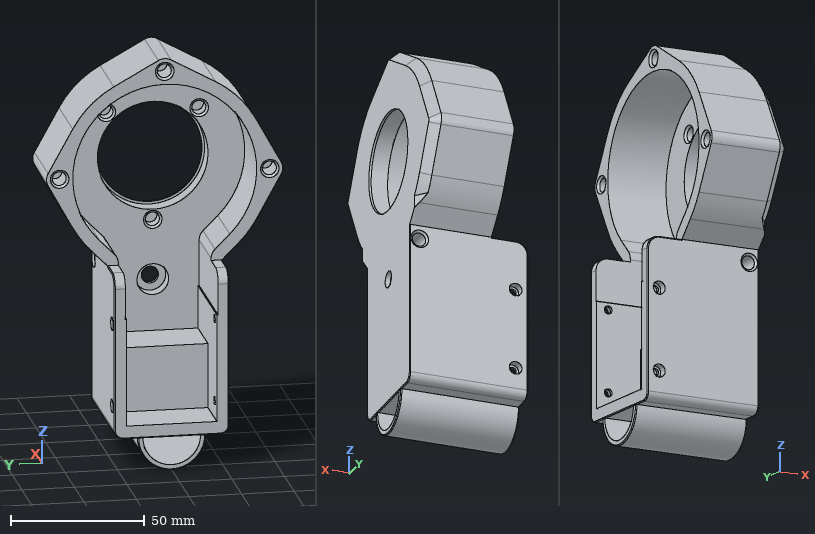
import cadquery as cq
import math


arm_depth = 47.6
ring_front = 14.7
pocket_floor = 39.7
ring_chamfer = 3.7
ring_chamfer_inset = 3.5
chamfer_start = arm_depth - ring_chamfer

ring_radius = 40.0
corner_radius = 5.0
corner_angles = [0, 90, 180]
right_flank_angle = -45
left_flank_angle = 225
pocket_radius = 35.0
pocket_corner_radius = 5.0
neck_chamfer_top = -25.0
bore_diameter = 42.0
lip_diameter = 40.0
lip_thickness = 1.0

arm_half_width = 21.9
arm_top = arm_half_width - ring_radius * math.sqrt(2)
arm_bottom = -98.3
arm_bottom_radius = 3.3
arm_top_radius = 5.0
edge_chamfer = 0.39
upper_slot_half_width = 17.7
lower_slot_half_width = 17.2
slot_step = -51.7
slot_bottom = -93.3
block_front = 18.7
block_top = -68.3

loop_outer_radius = 13.0
loop_inner_radius = 11.0

insert_diameter = 5.3
insert_mouth_diameter = 7.0
insert_depth = 10.0
floor_insert_depth = 6.0
floor_insert_circle = 25.0
floor_insert_angles = [45, 135, 270]
side_insert_x = 43.6
side_insert_z = -40.0

side_screw_diameter = 3.1
side_screw_head_diameter = 5.0
side_screw_head_depth = 3.5
side_screw_x = 5.0
side_screw_heights = [-54.5, -86.5]
centre_screw_diameter = 6.4
centre_screw_head_diameter = 12.0
centre_screw_head_depth = 6.0
centre_screw_z = -48.3


def polar(radius, angle):
    """Point at an angle in degrees from +Y towards +Z."""
    turn = math.radians(angle)
    return radius * math.cos(turn), radius * math.sin(turn)


def nose_point(corner_angle, turn, nose_radius):
    """Point on a rounded corner of the ring, turned away from the direction of that corner."""
    centre_y, centre_z = polar(ring_radius, corner_angle)
    y, z = polar(nose_radius, corner_angle + turn)
    return centre_y + y, centre_z + z


def ring_outline(plane, inset):
    """Round body with three rounded corners and 45 degree flanks that run down to the arm."""
    radius = ring_radius - inset
    nose_radius = corner_radius - inset
    tangent = math.degrees(math.acos((ring_radius - corner_radius) / ring_radius))
    flank_foot = arm_half_width - radius * math.sqrt(2)
    skirt_bottom = arm_top - edge_chamfer

    arc_start = right_flank_angle
    outline = plane.moveTo(arm_half_width, skirt_bottom).lineTo(arm_half_width, flank_foot)
    outline = outline.lineTo(*polar(radius, arc_start))
    for angle in corner_angles:
        arc_end = angle - tangent
        outline = outline.threePointArc(polar(radius, (arc_start + arc_end) / 2), polar(radius, arc_end))
        outline = outline.lineTo(*nose_point(angle, -tangent, nose_radius))
        outline = outline.threePointArc(
            nose_point(angle, 0, nose_radius), nose_point(angle, tangent, nose_radius)
        )
        arc_start = angle + tangent
        outline = outline.lineTo(*polar(radius, arc_start))
    arc_middle = (arc_start + left_flank_angle) / 2
    outline = outline.threePointArc(polar(radius, arc_middle), polar(radius, left_flank_angle))
    return outline.lineTo(-arm_half_width, flank_foot).lineTo(-arm_half_width, skirt_bottom).close()


def span_box(x_range, y_range, z_range):
    """Box between three pairs of limits."""
    sizes = [high - low for low, high in (x_range, y_range, z_range)]
    return cq.Workplane("XY").box(*sizes, centered=False).translate((x_range[0], y_range[0], z_range[0]))


def make_ring():
    """Ring with a chamfered rear edge; beside the neck the chamfer continues straight down."""
    body = ring_outline(cq.Workplane("YZ", origin=(ring_front, 0, 0)), 0)
    body = body.extrude(chamfer_start - ring_front)

    rear_plane = cq.Workplane("YZ", origin=(chamfer_start, 0, 0))
    rear = ring_outline(rear_plane, 0).workplane(offset=ring_chamfer)
    rear = ring_outline(rear, ring_chamfer_inset).loft(ruled=True)
    reach = ring_radius + corner_radius
    rear = rear.intersect(span_box((chamfer_start, arm_depth), (-reach, reach), (neck_chamfer_top, reach)))

    wide = math.sqrt(ring_radius**2 - neck_chamfer_top**2)
    narrow = math.sqrt((ring_radius - ring_chamfer_inset) ** 2 - neck_chamfer_top**2)
    neck_limit = (
        cq.Workplane("XY", origin=(0, 0, neck_chamfer_top))
        .polyline([(chamfer_start, -wide), (arm_depth, -narrow), (arm_depth, narrow), (chamfer_start, wide)])
        .close()
        .extrude(arm_top - edge_chamfer - neck_chamfer_top)
    )
    neck = ring_outline(rear_plane, 0).extrude(ring_chamfer).intersect(neck_limit)
    return body.union(rear).union(neck)


def make_arm():
    """Rectangular arm with rounded corners and lightly chamfered outer edges."""
    height = arm_top - arm_bottom
    section = (
        cq.Workplane("YZ")
        .center(0, arm_top)
        .rect(2 * arm_half_width, 2 * height)
        .extrude(arm_depth)
        .edges("|X and <Z")
        .fillet(arm_bottom_radius)
        .faces("<X or >X")
        .chamfer(edge_chamfer)
    )
    side = (
        span_box((0, arm_depth), (-arm_half_width, arm_half_width), (arm_bottom, arm_top))
        .edges("|Y and <X and >Z")
        .fillet(arm_top_radius)
        .faces("<Y or >Y")
        .chamfer(edge_chamfer)
    )
    return section.intersect(side)


def make_loop():
    """Half-round loop hanging from the underside of the arm."""
    plane = cq.Workplane("YZ", origin=(0, 0, arm_bottom))
    loop = plane.circle(loop_outer_radius).extrude(arm_depth).faces("<X or >X").chamfer(edge_chamfer)
    loop = loop.cut(plane.circle(loop_inner_radius).extrude(arm_depth))
    reach = loop_outer_radius
    return loop.intersect(span_box((0, arm_depth), (-reach, reach), (arm_bottom - reach, arm_bottom)))


def make_pocket():
    """Round pocket with 45 degree flanks that lead into the slot of the arm."""
    tangent_y, tangent_z = polar(pocket_radius, right_flank_angle)
    slot_corner = upper_slot_half_width - pocket_radius * math.sqrt(2)
    depth = pocket_floor
    pocket = (
        cq.Workplane("YZ")
        .moveTo(tangent_y, tangent_z)
        .threePointArc((0, pocket_radius), (-tangent_y, tangent_z))
        .lineTo(-upper_slot_half_width, slot_corner)
        .lineTo(-upper_slot_half_width, slot_step)
        .lineTo(upper_slot_half_width, slot_step)
        .lineTo(upper_slot_half_width, slot_corner)
        .close()
        .extrude(depth)
    )
    for side in (-1, 1):
        corner = (depth / 2, side * upper_slot_half_width, slot_corner)
        pocket = pocket.edges(cq.selectors.NearestToPointSelector(corner)).fillet(pocket_corner_radius)

    lower_width = (-lower_slot_half_width, lower_slot_half_width)
    above_block = span_box((0, depth), lower_width, (block_top, slot_step))
    before_block = span_box((0, block_front), lower_width, (slot_bottom, block_top))
    return pocket.union(above_block).union(before_block)


def make_bore():
    """Motor bore with a thin lip at the rear face."""
    bore = cq.Workplane("YZ").circle(bore_diameter / 2).extrude(arm_depth - lip_thickness)
    return bore.union(cq.Workplane("YZ").circle(lip_diameter / 2).extrude(arm_depth))


def drill(position, direction, diameter, depth):
    """Cylinder that starts at a position and runs along a direction."""
    return cq.Workplane(cq.Solid.makeCylinder(diameter / 2, depth, cq.Vector(*position), cq.Vector(*direction)))


def insert_hole(position, direction, depth):
    """Blind hole with a 45 degree countersunk mouth."""
    mouth_depth = (insert_mouth_diameter - insert_diameter) / 2
    mouth = cq.Solid.makeCone(
        insert_mouth_diameter / 2, insert_diameter / 2, mouth_depth, cq.Vector(*position), cq.Vector(*direction)
    )
    return drill(position, direction, insert_diameter, depth).union(cq.Workplane(mouth))


def make_holes():
    """All insert and screw holes."""
    rearward = (1, 0, 0)
    centre_screw = (pocket_floor, 0, centre_screw_z)
    holes = [
        drill(centre_screw, rearward, centre_screw_diameter, arm_depth - pocket_floor),
        drill(centre_screw, rearward, centre_screw_head_diameter, centre_screw_head_depth),
    ]
    for angle in corner_angles:
        holes.append(insert_hole((ring_front, *polar(ring_radius, angle)), rearward, insert_depth))
    for angle in floor_insert_angles:
        position = (pocket_floor, *polar(floor_insert_circle, angle))
        holes.append(insert_hole(position, rearward, floor_insert_depth))
    wall = arm_half_width - lower_slot_half_width
    for side in (-1, 1):
        inward = (0, -side, 0)
        face = side * arm_half_width
        holes.append(insert_hole((side_insert_x, face, side_insert_z), inward, insert_depth))
        for z in side_screw_heights:
            position = (side_screw_x, face, z)
            holes.append(drill(position, inward, side_screw_diameter, wall))
            holes.append(drill(position, inward, side_screw_head_diameter, side_screw_head_depth))
    return holes


result = make_ring().union(make_arm()).union(make_loop())
result = result.cut(make_pocket()).cut(make_bore())
for hole in make_holes():
    result = result.cut(hole)